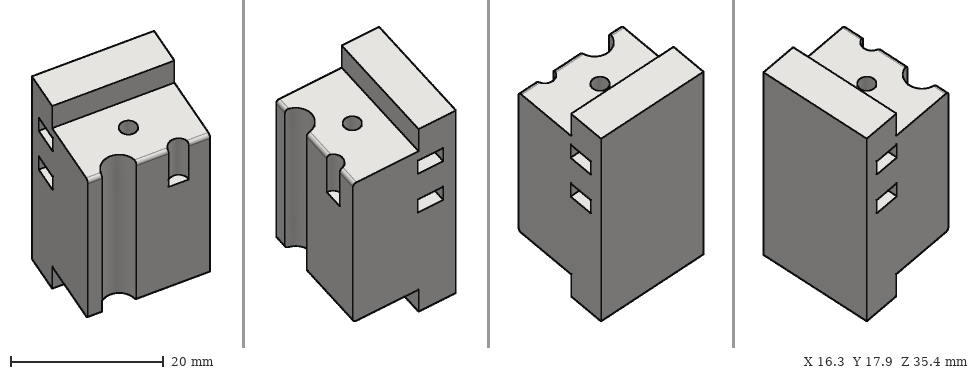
import cadquery as cq

depth = 16.3
width = 17.9
height = 35.4

plate_thickness = 5.9
body_inset = 4.3
body_height = height - 2 * body_inset
body_edge_radius = 0.55

window_length = 4.0
window_height = 2.55
window_start = 2.02
window_top_offset = 6.05
window_pitch = 7.5
window_count = 2

hole_diameter = 2.5
hole_x = 10.3
hole_depth = 7.08

channel_radius = 2.5
channel_y = -4.35
notch_radius = 1.5
notch_y = 4.35
notch_depth = 7.08

body_top = body_height / 2


def vertical_cutter(x, y, radius, length):
    """Cylinder reaching down from the top face of the body."""
    return cq.Workplane("XY", origin=(x, y, body_top)).circle(radius).extrude(-length)


def window_cutter(index):
    """Rectangular window, counted downwards from the top one."""
    top = height / 2 - window_top_offset - index * window_pitch
    return (
        cq.Workplane("XY")
        .box(window_length, width, window_height)
        .translate((window_start + window_length / 2, 0, top - window_height / 2))
    )


plate = cq.Workplane("XY").box(plate_thickness, width, height, centered=(False, True, True))
body = (
    cq.Workplane("XY")
    .box(depth, width, body_height, centered=(False, True, True))
    .edges(">X and |Y")
    .fillet(body_edge_radius)
)
result = plate.union(body)

for index in range(window_count):
    result = result.cut(window_cutter(index))

result = result.cut(vertical_cutter(hole_x, 0, hole_diameter / 2, hole_depth))
result = result.cut(vertical_cutter(depth, channel_y, channel_radius, body_height))
result = result.cut(vertical_cutter(depth, notch_y, notch_radius, notch_depth))